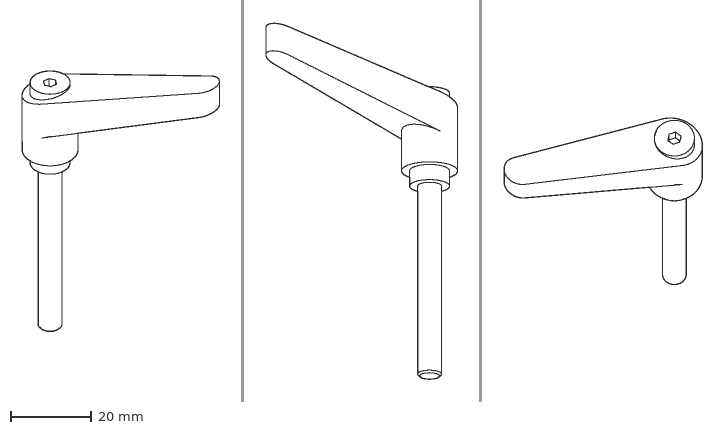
import math

import cadquery as cq


stud_diameter = 6.0
stud_length = 50.0
stud_chamfer_radial = 0.5
stud_chamfer_length = 0.5

collar_diameter = 10.0
collar_height = 4.0
head_top_z = 24.5

hub_radius = 7.0
hub_bottom_z = collar_height
arm_tip_radius = 4.0
arm_reach = 45.0
arm_tip_height = 7.2
arm_tip_top_z = 35.69
arm_top_angle = 16.3
arm_under_angle = 20.0

socket_across_flats = 3.0
socket_depth = 3.0
socket_cone_angle = 118.0

arm_tip_center_x = arm_reach - arm_tip_radius
arm_tip_bottom_z = arm_tip_top_z - arm_tip_height


def arm_top_z(x):
    """Height of the sloping upper face at a given X."""
    return arm_tip_top_z - (arm_reach - x) * math.tan(math.radians(arm_top_angle))


def arm_under_z(x):
    """Height of the sloping lower face of the arm at a given X."""
    return arm_tip_bottom_z - (arm_reach - x) * math.tan(math.radians(arm_under_angle))


def extruded_profile(points):
    """Side profile in the XZ plane, extruded symmetrically across the full hub width."""
    return cq.Workplane("XZ").polyline(points).close().extrude(hub_radius, both=True)


def make_stud():
    radius = stud_diameter / 2
    profile = [
        (0, -stud_length),
        (radius - stud_chamfer_radial, -stud_length),
        (radius, -stud_length + stud_chamfer_length),
        (radius, 0),
        (0, 0),
    ]
    return cq.Workplane("XZ").polyline(profile).close().revolve(360, (0, 0), (0, 1))


def make_collar_and_head():
    return cq.Workplane("XY").circle(collar_diameter / 2).extrude(head_top_z)


def make_hub():
    """Cylinder cut off at the top by the sloping upper face."""
    profile = [
        (-hub_radius, hub_bottom_z),
        (hub_radius, hub_bottom_z),
        (hub_radius, arm_top_z(hub_radius)),
        (-hub_radius, arm_top_z(-hub_radius)),
    ]
    cylinder = cq.Workplane("XY").circle(hub_radius).extrude(arm_tip_top_z)
    return cylinder.intersect(extruded_profile(profile))


def make_arm():
    """Flanks tangent to the hub and the tip round, between the two sloping faces."""
    flank_sine = (hub_radius - arm_tip_radius) / arm_tip_center_x
    flank_cosine = math.sqrt(1 - flank_sine**2)
    root_x = hub_radius * flank_sine
    root_y = hub_radius * flank_cosine
    tip_x = arm_tip_center_x + arm_tip_radius * flank_sine
    tip_y = arm_tip_radius * flank_cosine
    outline = (
        cq.Workplane("XY")
        .moveTo(root_x, -root_y)
        .lineTo(tip_x, -tip_y)
        .threePointArc((arm_reach, 0), (tip_x, tip_y))
        .lineTo(root_x, root_y)
        .close()
        .extrude(arm_tip_top_z)
    )
    profile = [
        (root_x, arm_under_z(root_x)),
        (arm_reach, arm_tip_bottom_z),
        (arm_reach, arm_tip_top_z),
        (root_x, arm_top_z(root_x)),
    ]
    return outline.intersect(extruded_profile(profile))


def make_socket():
    """Hex prism ending in a cone that is as wide as the hex corners."""
    corner_radius = socket_across_flats / math.sqrt(3)
    cone_height = corner_radius / math.tan(math.radians(socket_cone_angle / 2))
    floor_z = head_top_z - socket_depth
    tip_z = floor_z - cone_height
    hexagon = cq.Workplane("XY", origin=(0, 0, tip_z)).polygon(6, 2 * corner_radius)
    prism = hexagon.extrude(head_top_z - tip_z)
    bore_profile = [
        (0, tip_z),
        (corner_radius, floor_z),
        (corner_radius, head_top_z),
        (0, head_top_z),
    ]
    bore = cq.Workplane("XZ").polyline(bore_profile).close().revolve(360, (0, 0), (0, 1))
    return prism.intersect(bore)


body = make_collar_and_head().union(make_stud()).union(make_hub()).union(make_arm())
result = body.cut(make_socket())